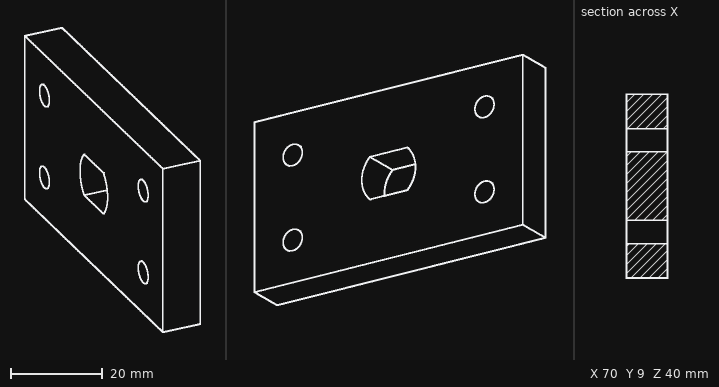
import cadquery as cq

plate_length = 70.0
plate_thickness = 9.0
plate_height = 40.0

hole_diameter = 5.0
hole_spacing_x = 50.0
hole_spacing_z = 20.0

bore_diameter = 14.0
bore_flat_distance = 10.0


def make_plate():
    """Rectangular plate centred on the origin."""
    return cq.Workplane("XY").box(plate_length, plate_thickness, plate_height)


def make_mounting_holes():
    """Four through-hole cutters at the corners of a rectangle."""
    return (
        cq.Workplane("XZ")
        .rect(hole_spacing_x, hole_spacing_z, forConstruction=True)
        .vertices()
        .circle(hole_diameter / 2)
        .extrude(plate_thickness / 2, both=True)
    )


def make_double_d_opening():
    """Through cutter with round ends and flats on the top and bottom."""
    bore = (
        cq.Workplane("XZ")
        .circle(bore_diameter / 2)
        .extrude(plate_thickness / 2, both=True)
    )
    between_flats = cq.Workplane("XY").box(bore_diameter, plate_thickness, bore_flat_distance)
    return bore.intersect(between_flats)


result = make_plate().cut(make_mounting_holes()).cut(make_double_d_opening())